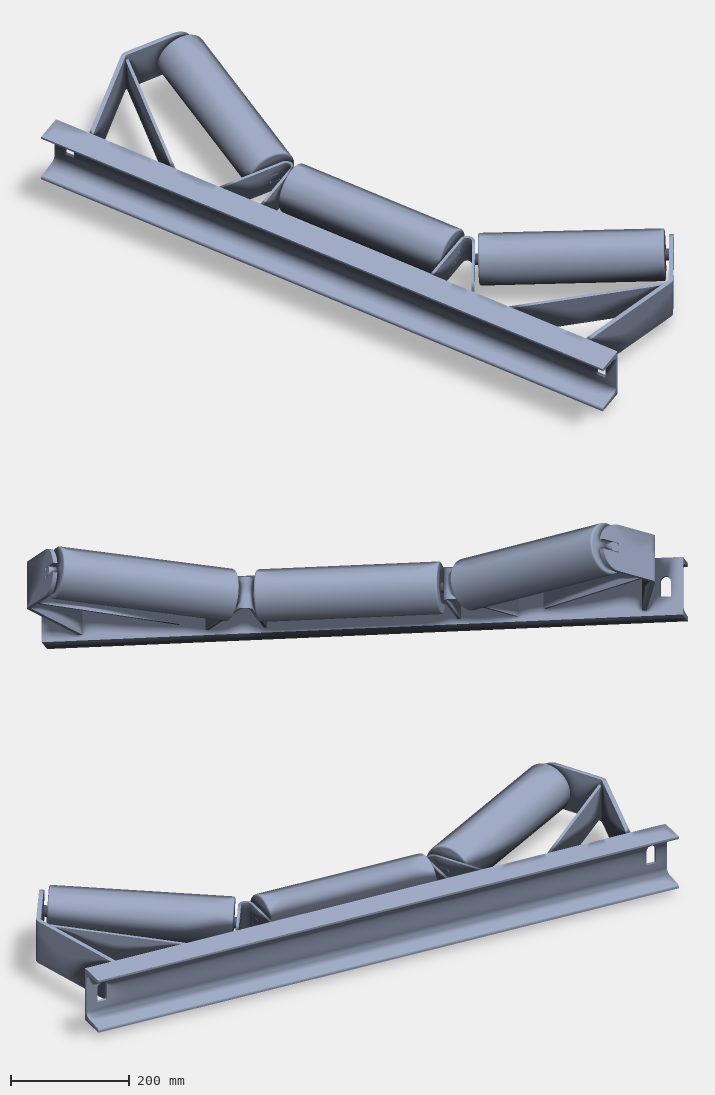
import cadquery as cq
import math

CHANNEL_LENGTH = 1100.0
CHANNEL_HEIGHT = 100.0
CHANNEL_DEPTH = 50.0
WEB_THICKNESS = 5.0
FLANGE_TIP_THICKNESS = 7.0
FLANGE_ROOT_THICKNESS = 10.0
FLANGE_ROOT_RADIUS = 9.0
FLANGE_TIP_RADIUS = 4.0
MOUNT_HOLE_X = 520.0
MOUNT_HOLE_WIDTH = 18.0
MOUNT_HOLE_HEIGHT = 35.0

ROLLER_DIAMETER = 89.0
ROLLER_LENGTH = 315.0
ROLLER_EDGE_RADIUS = 3.0
SHAFT_DIAMETER = 20.0
SHAFT_FLAT_HEIGHT = 15.0
ROLLER_GAP = 7.0

MIDDLE_ROLLER_Y = 117.0
INNER_SHAFT_Z = -14.0
TROUGH_ANGLE = 30.0
SIDE_ROLLER_TILT = 2.5
SIDE_ROLLER_X = -339.0
SIDE_ROLLER_Y = 207.0

INNER_STRIP_WIDTH = 54.0
INNER_STRIP_THICKNESS = 5.0
INNER_BEND_RADIUS = 11.0

OUTER_STRIP_WIDTH = 80.0
OUTER_STRIP_THICKNESS = 8.0
OUTER_BEND_RADIUS = 11.0
OUTER_FOOT_X = -484.0
OUTER_CORNER_Y = 201.0
OUTER_ARM_LENGTH = 135.0

BRACE_WIDTH = 60.0
BRACE_THICKNESS = 5.0
BRACE_FOOT_X = -314.0
BRACE_HEAD_RISE = 4.0

SLOT_CLEARANCE = 1.0
FOOT_OVERRUN = 22.0

X_AXIS = cq.Vector(1, 0, 0)
Y_AXIS = cq.Vector(0, 1, 0)
Z_AXIS = cq.Vector(0, 0, 1)
TROUGH = math.radians(TROUGH_ANGLE)
TILT = math.radians(SIDE_ROLLER_TILT)
INWARD = cq.Vector(math.cos(TROUGH), -math.sin(TROUGH), 0)
UPWARD = cq.Vector(math.sin(TROUGH), math.cos(TROUGH), 0)
SIDE_SHAFT_DIRECTION = INWARD * math.cos(TILT) - Z_AXIS * math.sin(TILT)

STRIP_REACH = ROLLER_LENGTH / 2 + ROLLER_GAP
MIDDLE_CENTER = cq.Vector(0, MIDDLE_ROLLER_Y, INNER_SHAFT_Z)
SIDE_CENTER = cq.Vector(SIDE_ROLLER_X, SIDE_ROLLER_Y, INNER_SHAFT_Z + STRIP_REACH * math.sin(TILT))


def make_channel():
    half_height = CHANNEL_HEIGHT / 2
    tip_z = half_height - FLANGE_TIP_THICKNESS
    root_z = half_height - FLANGE_ROOT_THICKNESS
    profile = [
        (0, -half_height),
        (0, half_height),
        (-CHANNEL_DEPTH, half_height),
        (-CHANNEL_DEPTH, tip_z),
        (-WEB_THICKNESS, root_z),
        (-WEB_THICKNESS, -root_z),
        (-CHANNEL_DEPTH, -tip_z),
        (-CHANNEL_DEPTH, -half_height),
    ]
    channel = cq.Workplane("YZ").polyline(profile).close().extrude(CHANNEL_LENGTH / 2, both=True)
    for side in (-1, 1):
        root_edge = cq.selectors.NearestToPointSelector((0, -WEB_THICKNESS, side * root_z))
        channel = channel.edges("|X").edges(root_edge).fillet(FLANGE_ROOT_RADIUS)
        tip_edge = cq.selectors.NearestToPointSelector((0, -CHANNEL_DEPTH, side * tip_z))
        channel = channel.edges("|X").edges(tip_edge).fillet(FLANGE_TIP_RADIUS)
        channel = channel.cut(make_mount_hole(side * MOUNT_HOLE_X))
    return channel


def make_mount_hole(center_x):
    """Cutter through the web with a round top and a flat bottom."""
    left = center_x - MOUNT_HOLE_WIDTH / 2
    right = center_x + MOUNT_HOLE_WIDTH / 2
    top = MOUNT_HOLE_HEIGHT / 2
    shoulder = top - MOUNT_HOLE_WIDTH / 2
    return (
        cq.Workplane("XZ")
        .moveTo(left, -top)
        .lineTo(left, shoulder)
        .threePointArc((center_x, top), (right, shoulder))
        .lineTo(right, -top)
        .close()
        .extrude(WEB_THICKNESS)
    )


def make_roller(center, direction, start_strip, end_strip):
    """Roller and shaft; the shaft ends flush with strips of the given thicknesses at start and end."""
    body_plane = cq.Plane(center - direction * (ROLLER_LENGTH / 2), Z_AXIS, direction)
    body = (
        cq.Workplane(body_plane)
        .circle(ROLLER_DIAMETER / 2)
        .extrude(ROLLER_LENGTH)
        .edges("%CIRCLE")
        .fillet(ROLLER_EDGE_RADIUS)
    )
    shaft_plane = cq.Plane(center - direction * (STRIP_REACH + start_strip), Z_AXIS, direction)
    shaft_length = start_strip + 2 * STRIP_REACH + end_strip
    shaft = cq.Workplane(shaft_plane).circle(SHAFT_DIAMETER / 2).extrude(shaft_length)
    flats = cq.Workplane(shaft_plane).rect(SHAFT_FLAT_HEIGHT, SHAFT_DIAMETER).extrude(shaft_length)
    return body.union(shaft.intersect(flats))


def make_middle_roller():
    return make_roller(MIDDLE_CENTER, X_AXIS, INNER_STRIP_THICKNESS, INNER_STRIP_THICKNESS)


def make_side_roller():
    return make_roller(SIDE_CENTER, SIDE_SHAFT_DIRECTION, OUTER_STRIP_THICKNESS, INNER_STRIP_THICKNESS)


def make_bent_strip(foot, corner, end, thickness, width, bend_radius):
    """Strip along the centerline foot - corner - end, bent at the corner and centered on Z = 0."""
    to_foot = (foot - corner).normalized()
    to_end = (end - corner).normalized()
    bisector = (to_foot + to_end).normalized()
    half_angle = to_foot.getAngle(to_end) / 2
    foot_offset = (bisector - to_foot * math.cos(half_angle)).normalized() * (thickness / 2)
    end_offset = (bisector - to_end * math.cos(half_angle)).normalized() * (thickness / 2)
    corner_offset = bisector * (thickness / 2 / math.sin(half_angle))
    outline = [
        foot + foot_offset,
        corner + corner_offset,
        end + end_offset,
        end - end_offset,
        corner - corner_offset,
        foot - foot_offset,
    ]
    strip = (
        cq.Workplane("XY")
        .polyline([(point.x, point.y) for point in outline])
        .close()
        .extrude(width / 2, both=True)
    )
    inside_edge = cq.selectors.NearestToPointSelector((corner + corner_offset).toTuple())
    strip = strip.edges("|Z").edges(inside_edge).fillet(bend_radius - thickness / 2)
    outside_edge = cq.selectors.NearestToPointSelector((corner - corner_offset).toTuple())
    return strip.edges("|Z").edges(outside_edge).fillet(bend_radius + thickness / 2)


def trim_at_web(body):
    """Cut off whatever reaches past the back of the web."""
    size = CHANNEL_LENGTH
    return body.cut(cq.Workplane("XY").box(size, size, size).translate((0, -size / 2, 0)))


def make_shaft_slot(shaft_point, square_to_strip, along_strip, length, thickness):
    """Cutter through one strip leg, reaching `length` along the strip from the seat of the shaft."""
    plane = cq.Plane(shaft_point, along_strip, square_to_strip)
    return (
        cq.Workplane(plane)
        .center((length - SHAFT_DIAMETER) / 2, 0)
        .rect(length, SHAFT_FLAT_HEIGHT + SLOT_CLEARANCE)
        .extrude(thickness, both=True)
    )


def make_inner_strip():
    """Hairpin: one leg upright beside the middle roller, one slanted square to the side roller."""
    leg_reach = STRIP_REACH + INNER_STRIP_THICKNESS / 2
    upright_x = -leg_reach
    on_slanted_leg = SIDE_CENTER + INWARD * leg_reach
    slanted_foot_x = on_slanted_leg.x - on_slanted_leg.y * math.tan(TROUGH)
    corner_y = (upright_x - slanted_foot_x) / math.tan(TROUGH)
    slanted_foot = cq.Vector(slanted_foot_x, 0, 0) - UPWARD * FOOT_OVERRUN
    strip = make_bent_strip(
        slanted_foot,
        cq.Vector(upright_x, corner_y, 0),
        cq.Vector(upright_x, 0, 0),
        INNER_STRIP_THICKNESS,
        INNER_STRIP_WIDTH,
        INNER_BEND_RADIUS,
    )
    strip = trim_at_web(strip.translate((0, 0, INNER_SHAFT_Z)))
    middle_shaft_end = MIDDLE_CENTER - X_AXIS * leg_reach
    side_shaft_end = SIDE_CENTER + SIDE_SHAFT_DIRECTION * leg_reach
    middle_slot = make_shaft_slot(
        middle_shaft_end, X_AXIS, Y_AXIS, SHAFT_DIAMETER, INNER_STRIP_THICKNESS
    )
    side_slot = make_shaft_slot(
        side_shaft_end, INWARD, UPWARD, SHAFT_DIAMETER, INNER_STRIP_THICKNESS
    )
    return strip.cut(middle_slot).cut(side_slot)


def outer_corner():
    """Corner of the outer strip's centerline, where its leg meets the arm beside the side roller."""
    on_arm = SIDE_CENTER - INWARD * (STRIP_REACH + OUTER_STRIP_THICKNESS / 2)
    corner = on_arm + UPWARD * ((OUTER_CORNER_Y - on_arm.y) / UPWARD.y)
    return cq.Vector(corner.x, corner.y, 0)


def make_outer_strip():
    corner = outer_corner()
    end = corner + UPWARD * OUTER_ARM_LENGTH
    foot = cq.Vector(OUTER_FOOT_X, 0, 0)
    foot_overrun = (foot - corner).normalized() * FOOT_OVERRUN
    strip = make_bent_strip(
        foot + foot_overrun,
        corner,
        end,
        OUTER_STRIP_THICKNESS,
        OUTER_STRIP_WIDTH,
        OUTER_BEND_RADIUS,
    )
    strip = trim_at_web(strip).cut(make_arm_end_trim(end))
    shaft_end = SIDE_CENTER - SIDE_SHAFT_DIRECTION * (STRIP_REACH + OUTER_STRIP_THICKNESS / 2)
    open_slot = make_shaft_slot(
        shaft_end, INWARD, UPWARD, OUTER_ARM_LENGTH, OUTER_STRIP_THICKNESS
    )
    return strip.cut(open_slot)


def make_arm_end_trim(end):
    """Cutter that leaves the end of the arm as a half circle across its width."""
    radius = OUTER_STRIP_WIDTH / 2
    sketch = cq.Workplane(cq.Plane(end - UPWARD * radius, UPWARD, INWARD))
    corners = sketch.center(radius, 0).rect(2 * radius, 4 * radius)
    corners = corners.extrude(OUTER_STRIP_THICKNESS, both=True)
    disc = sketch.circle(radius).extrude(OUTER_STRIP_THICKNESS, both=True)
    return corners.cut(disc)


def make_brace(outer_strip):
    """Square-ended flat bar; one edge of its foot stands on the web, its head meets the outer strip."""
    head = outer_corner() + UPWARD * BRACE_HEAD_RISE
    foot = cq.Vector(BRACE_FOOT_X, 0, 0)
    slope = math.atan2(head.y, foot.x - head.x)
    foot = foot + Y_AXIS * (BRACE_THICKNESS / 2 * math.cos(slope))
    along = foot - head
    bar = (
        cq.Workplane(cq.Plane(head, along, Z_AXIS))
        .center(along.Length / 2, 0)
        .rect(along.Length, BRACE_THICKNESS)
        .extrude(BRACE_WIDTH / 2, both=True)
    )
    return trim_at_web(bar).cut(outer_strip)


outer_strip = make_outer_strip()
left_bodies = [make_side_roller(), make_inner_strip(), outer_strip, make_brace(outer_strip)]

bodies = [make_channel().val(), make_middle_roller().val()]
for left_body in left_bodies:
    bodies.extend(left_body.vals())
    bodies.extend(left_body.mirror("YZ").vals())

result = cq.Compound.makeCompound(bodies)